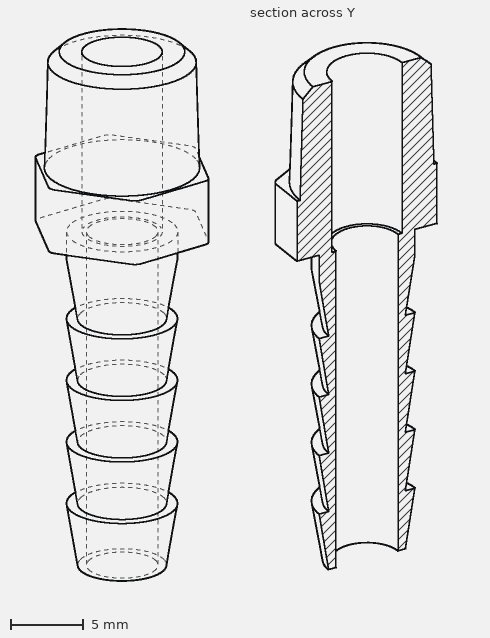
import cadquery as cq
import math

total_height = 37.75
barb_pitch = 4.53
barb_count = 4
neck_cone_top = 22.53
hex_bottom = 24.53
hex_top = 29.2
end_chamfer_height = 0.75

barb_tip_radius = 3.05
barb_radius = 3.8

taper_base_radius = 5.32
taper_top_radius = 5.1
end_face_radius = 4.3

hex_across_flats = 11.1
hex_corner_radius = 0.7

bore_radius = 2.45
upper_bore_radius = 2.75


def hose_tail():
    """Barbs, plain cone and neck, revolved about Z."""
    points = [(0, 0)]
    for i in range(barb_count):
        points.append((barb_tip_radius, i * barb_pitch))
        points.append((barb_radius, (i + 1) * barb_pitch))
    points += [
        (barb_tip_radius, barb_count * barb_pitch),
        (barb_radius, neck_cone_top),
        (barb_radius, hex_bottom),
        (0, hex_bottom),
    ]
    return cq.Workplane("XZ").polyline(points).close().revolve(360, (0, 0, 0), (0, 1, 0))


def hexagon():
    """Hexagon with flats facing +X and -X and rounded vertical corners."""
    across_corners = hex_across_flats / math.cos(math.pi / 6)
    return (
        cq.Workplane("XY")
        .workplane(offset=hex_bottom)
        .transformed(rotate=(0, 0, 30))
        .polygon(6, across_corners)
        .extrude(hex_top - hex_bottom)
        .edges("|Z")
        .fillet(hex_corner_radius)
    )


def threaded_end():
    """Tapered spigot with a chamfered end."""
    points = [
        (0, hex_top),
        (taper_base_radius, hex_top),
        (taper_top_radius, total_height - end_chamfer_height),
        (end_face_radius, total_height),
        (0, total_height),
    ]
    return cq.Workplane("XZ").polyline(points).close().revolve(360, (0, 0, 0), (0, 1, 0))


body = hose_tail().union(hexagon()).union(threaded_end())
bore = cq.Workplane("XY").circle(bore_radius).extrude(total_height)
upper_bore = (
    cq.Workplane("XY")
    .workplane(offset=hex_bottom)
    .circle(upper_bore_radius)
    .extrude(total_height - hex_bottom)
)
result = body.cut(bore).cut(upper_bore)